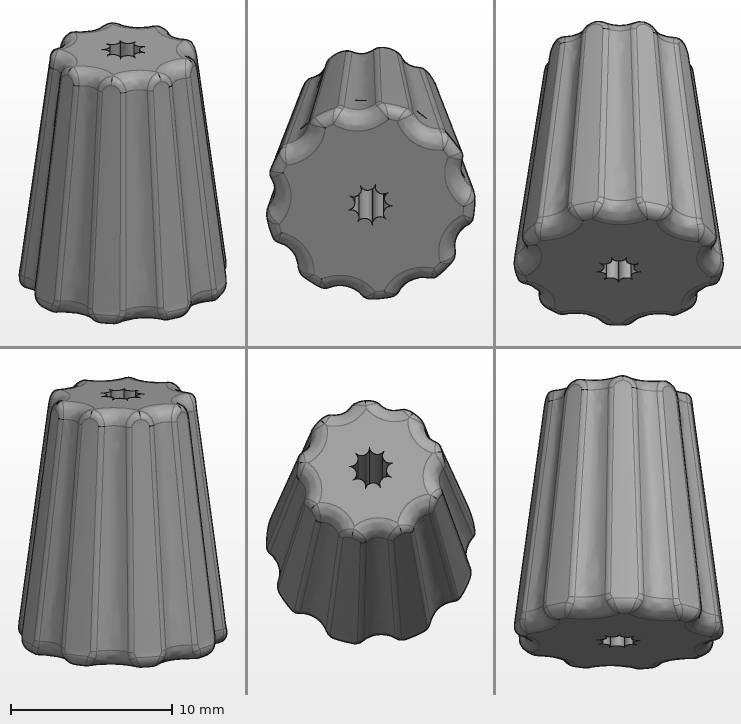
import cadquery as cq
import math

height = 16.0
base_radius = 6.6
top_radius = 4.51
base_round = 0.7

flute_count = 9
flute_pitch = 360.0 / flute_count
first_flute_angle = 180.0
flute_base_radius = 1.76
flute_base_distance = 7.82
flare_round = 1.0
edge_round = 0.5
taper = top_radius / base_radius

blank_size = 9.6

min_edge_rise = 0.16
max_edge_angle = 0.49 * flute_pitch


def body_wedge():
    """One flute pitch of the cone, centred on the +X axis, with its bottom rim rounded."""
    wedge = (
        cq.Workplane("XZ")
        .polyline([(0, 0), (base_radius, 0), (top_radius, height), (0, height)])
        .close()
        .revolve(flute_pitch, (0, 0), (0, 1))
        .rotate((0, 0, 0), (0, 0, 1), -flute_pitch / 2)
    )
    return wedge.faces("<Z").edges("%CIRCLE").fillet(base_round)


def flute_section(z, scale):
    """Horizontal circle of the flute at height z."""
    center = cq.Vector(flute_base_distance * scale, 0, z)
    return cq.Wire.makeCircle(flute_base_radius * scale, center, cq.Vector(0, 0, 1))


def flute_cutter():
    """Leaning cone whose two ends flare out, shaped as a round-edged hole in a block."""
    blank = cq.Workplane("XY").center(flute_base_distance, 0).rect(blank_size, blank_size).extrude(height)
    core = cq.Solid.makeLoft([flute_section(0, 1), flute_section(height, taper)], True)
    holed = blank.cut(cq.Workplane(core))
    return blank.cut(holed.edges("%CIRCLE").fillet(flare_round))


def is_flute_edge(edge):
    """True for the steep edges where the flute meets the lands, not those on the wedge sides."""
    middle = edge.positionAt(0.5)
    angle = math.degrees(math.atan2(middle.y, middle.x))
    return abs(angle) < max_edge_angle and edge.BoundingBox().zlen > min_edge_rise


def fluted_wedge():
    """Body wedge with its flute cut and the flute edges rounded."""
    wedge = body_wedge().cut(flute_cutter())
    flute_edges = [edge for edge in wedge.edges().vals() if is_flute_edge(edge)]
    return wedge.newObject(flute_edges).fillet(edge_round)


wedge = fluted_wedge()
result = cq.Workplane("XY")
for index in range(flute_count):
    angle = first_flute_angle + index * flute_pitch
    result = result.add(wedge.rotate((0, 0, 0), (0, 0, 1), angle))
result = result.combine().solids()